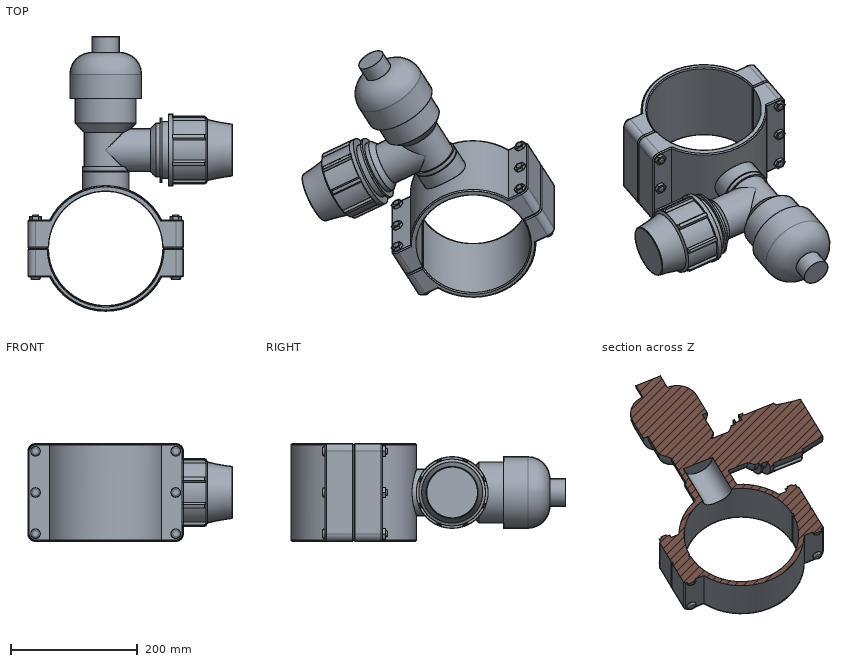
import cadquery as cq
import math

OVERLAP = 1.0

clamp_height = 154.0
bore_radius = 90.0
ring_radius = 99.0
edge_chamfer = 2.0

lug_half_span = 122.5
lug_depth = 45.0
lug_corner_radius = 12.0
lug_chamfer = 2.0
joint_chamfer = 2.0

bolt_x = lug_half_span - lug_corner_radius
bolt_pitch = clamp_height / 2 - lug_corner_radius
bolt_diameter = 10.0
bolt_head_diameter = 15.0
bolt_head_height = 4.0
bolt_head_rounding = (bolt_head_diameter - bolt_diameter) / 2
nut_across_flats = 16.0
nut_sides = 6
nut_height = 5.0
bolt_tip_height = 8.0
bolt_tip_rounding = 2.0

stack_top = 333.65
saddle_radius = 73.65 / 2
collar_start = 120.8
groove_width = 1.0
groove_depth = 0.5
collar_end = 129.0
tee_radius = 67.8 / 2
cone_start = 182.7
valve_radius = 96.31 / 2
cone_end = 197.5
cap_start = 236.0
cap_radius = 113.0 / 2
cap_end = 309.0
vent_radius = 43.6 / 2
dome_radius = cap_radius - vent_radius

tapping_diameter = 50.0

outlet_y = 155.0
socket_cone_start = 70.5
socket_cone_end = 79.0
socket_radius = 84.75 / 2
thin_flange_start = 86.0
thin_flange_end = 89.0
thin_flange_radius = 101.7 / 2
neck_radius = 90.4 / 2
nut_flange_start = 99.0
nut_flange_end = 106.0
nut_flange_radius = 113.0 / 2
union_radius = 52.5
union_end = 158.0
sleeve_start = 160.5
sleeve_start_radius = 96.31 / 2
sleeve_end_radius = 41.0
sleeve_hollow = 0.6
sleeve_chamfer = 1.0
outlet_end = 200.0

rib_count = 8
rib_top_width = 5.4
rib_root_width = 9.0
rib_radius = 113.31 / 2
rib_chamfer = 2.5


def rod_along_y(x, z, start, end, diameter):
    """Round bar parallel to Y from start to end."""
    plane = cq.Plane(origin=(x, start, z), xDir=(1, 0, 0), normal=(0, 1, 0))
    return cq.Workplane(plane).circle(diameter / 2).extrude(end - start)


def make_ring():
    ring = cq.Workplane("XY").circle(ring_radius).extrude(clamp_height / 2, both=True)
    return ring.faces("<Z or >Z").edges().chamfer(edge_chamfer)


def make_lug_plate(side):
    """Lugs of one clamp half, spanning the full width; side is +1 (saddle) or -1 (strap)."""
    plate = cq.Workplane("XY").box(2 * lug_half_span, lug_depth, clamp_height)
    plate = plate.edges("|Y").fillet(lug_corner_radius)
    outer_face = ">Y" if side > 0 else "<Y"
    plate = plate.faces(outer_face).edges().chamfer(lug_chamfer)
    return plate.translate((0, side * lug_depth / 2, 0))


def make_clamp_half(side):
    """One half of the clamp, with the edges of its joint faces chamfered."""
    half_space = cq.Workplane("XY").box(2 * lug_half_span, 2 * lug_half_span, clamp_height)
    half_space = half_space.translate((0, side * lug_half_span, 0))
    bore = cq.Workplane("XY").circle(bore_radius).extrude(clamp_height, both=True)
    half = make_ring().intersect(half_space).union(make_lug_plate(side)).cut(bore)
    joint_face = "<Y" if side > 0 else ">Y"
    return half.faces(joint_face).edges().chamfer(joint_chamfer)


def make_strap_bore_chamfer():
    """Half rings that break the bore edge at both ends of the strap."""
    half_height = clamp_height / 2
    bevel = (
        cq.Workplane("XZ")
        .moveTo(bore_radius - OVERLAP, half_height)
        .lineTo(bore_radius + edge_chamfer, half_height)
        .lineTo(bore_radius, half_height - edge_chamfer)
        .lineTo(bore_radius - OVERLAP, half_height - edge_chamfer)
        .close()
        .revolve(180, (0, 0, 0), (0, -1, 0))
    )
    return bevel.union(bevel.mirror("XY"))


def make_clamp():
    """Saddle and strap joined along Y = 0, where their chamfers form a V groove."""
    strap = make_clamp_half(-1).cut(make_strap_bore_chamfer())
    return make_clamp_half(1).union(strap)


def make_bolt(x, z):
    """Visible ends of one bolt: a head on the strap side, nut and tip on the saddle side."""
    head = rod_along_y(x, z, -lug_depth - bolt_head_height, -lug_depth + OVERLAP, bolt_head_diameter)
    head = head.faces("<Y").edges().fillet(bolt_head_rounding)
    nut_plane = cq.Plane(origin=(x, lug_depth - OVERLAP, z), xDir=(1, 0, 0), normal=(0, 1, 0))
    across_corners = nut_across_flats / math.cos(math.pi / nut_sides)
    nut = cq.Workplane(nut_plane).polygon(nut_sides, across_corners).extrude(nut_height + OVERLAP)
    tip = rod_along_y(x, z, lug_depth, lug_depth + bolt_tip_height, bolt_diameter)
    tip = tip.faces(">Y").edges().fillet(bolt_tip_rounding)
    return head.union(nut).union(tip)


def make_stack():
    """Saddle outlet, tee body and vent valve, turned around the Y axis."""
    groove_radius = saddle_radius - groove_depth
    return (
        cq.Workplane("XY")
        .moveTo(0, bore_radius + OVERLAP)
        .lineTo(saddle_radius, bore_radius + OVERLAP)
        .lineTo(saddle_radius, collar_start)
        .lineTo(groove_radius, collar_start)
        .lineTo(groove_radius, collar_start + groove_width)
        .lineTo(saddle_radius, collar_start + groove_width)
        .lineTo(saddle_radius, collar_end)
        .lineTo(tee_radius, collar_end)
        .lineTo(tee_radius, cone_start)
        .lineTo(valve_radius, cone_end)
        .lineTo(valve_radius, cap_start)
        .lineTo(cap_radius, cap_start)
        .lineTo(cap_radius, cap_end - dome_radius)
        .radiusArc((vent_radius, cap_end), -dome_radius)
        .lineTo(vent_radius, stack_top)
        .lineTo(0, stack_top)
        .close()
        .revolve(360, (0, 0, 0), (0, 1, 0))
    )


def make_outlet():
    """Side branch with its union nut and sleeve, turned around the outlet axis."""
    sleeve_middle = (
        (sleeve_start + outlet_end - sleeve_chamfer) / 2,
        (sleeve_start_radius + sleeve_end_radius) / 2 - sleeve_hollow,
    )
    body = (
        cq.Workplane("XY")
        .lineTo(0, tee_radius)
        .lineTo(socket_cone_start, tee_radius)
        .lineTo(socket_cone_end, socket_radius)
        .lineTo(thin_flange_start, socket_radius)
        .lineTo(thin_flange_start, thin_flange_radius)
        .lineTo(thin_flange_end, thin_flange_radius)
        .lineTo(thin_flange_end, neck_radius)
        .lineTo(nut_flange_start, neck_radius)
        .lineTo(nut_flange_start, nut_flange_radius)
        .lineTo(nut_flange_end, nut_flange_radius)
        .lineTo(nut_flange_end, union_radius)
        .lineTo(union_end, union_radius)
        .lineTo(sleeve_start, sleeve_start_radius)
        .threePointArc(sleeve_middle, (outlet_end - sleeve_chamfer, sleeve_end_radius))
        .lineTo(outlet_end, sleeve_end_radius - sleeve_chamfer)
        .lineTo(outlet_end, 0)
        .close()
        .revolve(360, (0, 0, 0), (1, 0, 0))
    )
    for index in range(rib_count):
        angle = (index + 0.5) * 360 / rib_count
        body = body.union(make_rib().rotate((0, 0, 0), (1, 0, 0), angle))
    return body.translate((0, outlet_y, 0))


def make_rib():
    """One grip rib with sloping flanks, standing on the union nut in the +Y direction."""
    rib_start = nut_flange_end - OVERLAP
    root = union_radius - OVERLAP
    section = (
        cq.Workplane("YZ", origin=(rib_start, 0, 0))
        .moveTo(root, -rib_root_width / 2)
        .lineTo(union_radius, -rib_root_width / 2)
        .lineTo(rib_radius, -rib_top_width / 2)
        .lineTo(rib_radius, rib_top_width / 2)
        .lineTo(union_radius, rib_root_width / 2)
        .lineTo(root, rib_root_width / 2)
        .close()
    )
    rib = section.extrude(union_end - rib_start)
    return rib.edges(">X and >Y").chamfer(rib_chamfer)


result = make_clamp().union(make_stack()).union(make_outlet())
for bolt_side in (-1, 1):
    for bolt_row in (-1, 0, 1):
        result = result.union(make_bolt(bolt_side * bolt_x, bolt_row * bolt_pitch))
result = result.cut(rod_along_y(0, 0, 0, outlet_y, tapping_diameter))